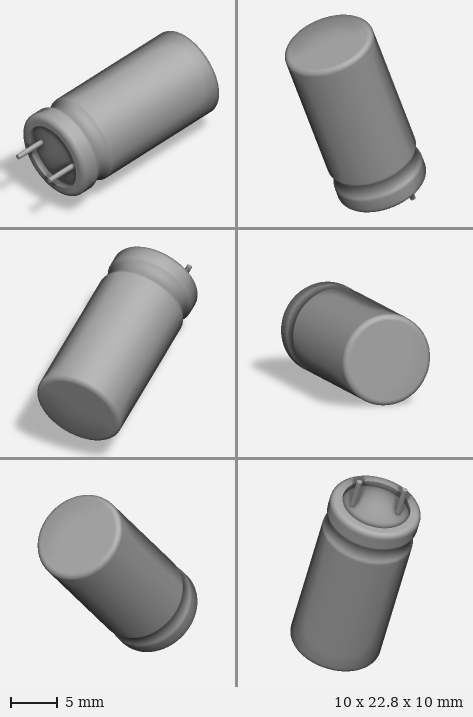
import cadquery as cq
import math

total_length = 22.8
can_radius = 5.0
lead_length = 2.78
can_length = total_length - lead_length
end_round = 0.6

groove_center = 3.03
groove_half_width = 1.23
groove_depth = 0.36
groove_arc_radius = 1.62

seal_radius = 3.75
seal_recess = 0.7
lead_diameter = 0.6
lead_pitch = 5.0

blend_angle = 2 * math.atan(groove_depth / groove_half_width)
blend_radius = groove_half_width / math.sin(blend_angle) - groove_arc_radius
groove_floor = can_radius - groove_depth


def concave_point(angle):
    """Point (radius, Y) on the concave arc, at an angle from the groove floor."""
    return (
        groove_floor + groove_arc_radius * (1 - math.cos(angle)),
        groove_center + groove_arc_radius * math.sin(angle),
    )


def convex_midpoint(side):
    """Middle (radius, Y) of the blend arc; side is -1 toward the leads, +1 away."""
    half_angle = blend_angle / 2
    return (
        can_radius - blend_radius * (1 - math.cos(half_angle)),
        groove_center + side * (groove_half_width - blend_radius * math.sin(half_angle)),
    )


def make_can():
    """Revolved can with the crimp groove and rounded ends."""
    profile = (
        cq.Workplane("XY")
        .lineTo(can_radius, 0)
        .lineTo(can_radius, groove_center - groove_half_width)
        .threePointArc(convex_midpoint(-1), concave_point(-blend_angle))
        .threePointArc(concave_point(0), concave_point(blend_angle))
        .threePointArc(convex_midpoint(1), (can_radius, groove_center + groove_half_width))
        .lineTo(can_radius, can_length)
        .lineTo(0, can_length)
        .close()
    )
    can = profile.revolve(360, (0, 0, 0), (0, 1, 0))
    return can.faces("<Y or >Y").edges().fillet(end_round)


def cylinder_along_y(radius, y_start, y_end, x=0):
    """Cylinder parallel to the can axis."""
    return cq.Workplane(
        cq.Solid.makeCylinder(radius, y_end - y_start, cq.Vector(x, y_start, 0), cq.Vector(0, 1, 0))
    )


result = make_can().cut(cylinder_along_y(seal_radius, 0, seal_recess))
for side in (-1, 1):
    lead = cylinder_along_y(lead_diameter / 2, -lead_length, seal_recess, side * lead_pitch / 2)
    result = result.union(lead)